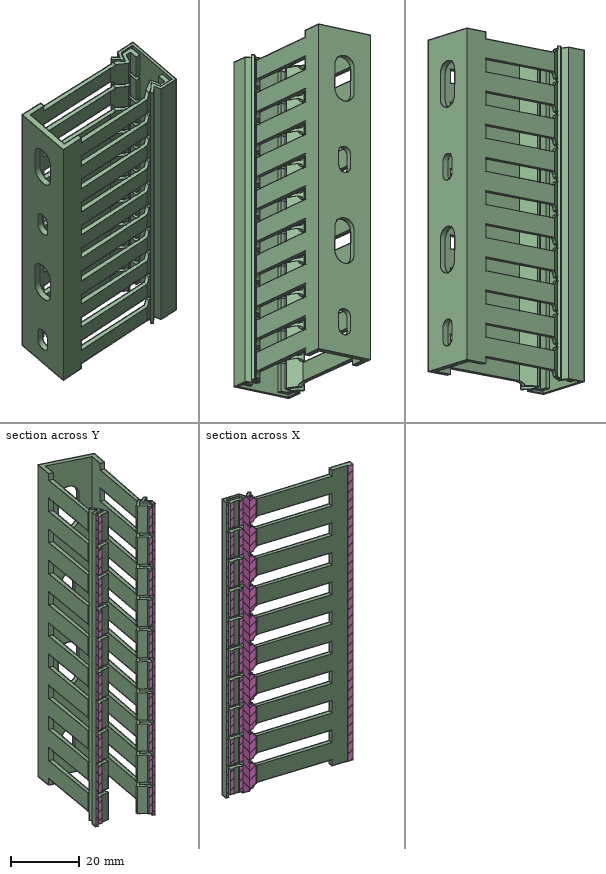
import cadquery as cq


length = 100.0
height = 43.3
cover_width = 19.4

cover_wall = 0.9
cover_half = cover_width / 2
cover_inner_half = cover_half - cover_wall

groove_start_y = 38.0
groove_apex_x = 5.9
groove_apex_y = 36.9
cover_corner_y = 37.4
leg_bend_x = 7.6
leg_bend_y = 36.5
leg_end_x = 9.4

base_half = 9.2
channel_half = 7.6
floor_thickness = 1.8
outer_bend_y = 32.8
inner_bend_y = 32.7
contact_end_x = 7.4
contact_end_y = groove_apex_y - (contact_end_x - groove_apex_x)
nose_x = 4.7
nose_bottom_y = 37.2
nose_top_y = 37.9
nose_root_y = 38.9
lip_tip_x = 5.0
lip_top_y = 41.9
lip_thickness = 1.4

finger_pitch = 10.0
slot_width = 4.2
slot_bottom_y = 7.1
slot_top_y = 34.2
slit_width = 1.3

hole_pitch = 25.0
first_hole_z = 10.0
hole_count = 4
long_hole_length = 14.0
long_hole_width = 6.8
short_hole_length = 8.0
short_hole_width = 4.2


def extrude_symmetric(right_half):
    """Mirror an open right-half outline about X = 0 and extrude it over the length."""
    left_half = [(-x, y) for x, y in reversed(right_half)]
    return cq.Workplane("XY").polyline(right_half + left_half).close().extrude(length)


def make_slot_cutter(z):
    """Round-ended finger slot with its narrow slit, through both side walls at height z."""
    round_center_y = slot_top_y - slot_width / 2
    plane = cq.Workplane("YZ", origin=(0, 0, z))
    slot = (
        plane.moveTo(slot_bottom_y, -slot_width / 2)
        .lineTo(round_center_y, -slot_width / 2)
        .threePointArc((slot_top_y, 0), (round_center_y, slot_width / 2))
        .lineTo(slot_bottom_y, slot_width / 2)
        .close()
        .extrude(cover_half, both=True)
    )
    slit_length = height - round_center_y
    slit = (
        plane.center(round_center_y + slit_length / 2, 0)
        .rect(slit_length, slit_width)
        .extrude(cover_half, both=True)
    )
    return slot.union(slit)


def make_hole_cutter(z, hole_length, hole_width):
    """Obround hole through the floor, long side along Z."""
    return (
        cq.Workplane("XZ", origin=(0, 0, z))
        .slot2D(hole_length, hole_width, 90)
        .extrude(-floor_thickness)
    )


def make_duct():
    """U-shaped channel whose side walls are split into snap-lipped fingers."""
    body = extrude_symmetric([
        (base_half, 0),
        (cover_inner_half, outer_bend_y),
        (contact_end_x, contact_end_y),
        (groove_apex_x, groove_apex_y),
        (cover_inner_half, groove_start_y),
        (cover_inner_half, lip_top_y),
        (lip_tip_x, lip_top_y),
        (lip_tip_x, lip_top_y - lip_thickness),
        (channel_half, lip_top_y - lip_thickness),
        (channel_half, nose_root_y),
        (nose_x, nose_top_y),
        (nose_x, nose_bottom_y),
        (channel_half, inner_bend_y),
        (channel_half, floor_thickness),
    ])

    slot_count = round(length / finger_pitch) + 1
    for index in range(slot_count):
        body = body.cut(make_slot_cutter(index * finger_pitch))

    for index in range(hole_count):
        z = first_hole_z + index * hole_pitch
        if index % 2 == 0:
            body = body.cut(make_hole_cutter(z, short_hole_length, short_hole_width))
        else:
            body = body.cut(make_hole_cutter(z, long_hole_length, long_hole_width))
    return body


def make_cover():
    """Flat cover with sides that bend into the duct grooves and flare out in 45 degree legs."""
    leg_outer_end_y = leg_bend_y - (leg_end_x - leg_bend_x)
    end_step = (leg_bend_x + leg_bend_y - groove_apex_x - groove_apex_y) / 2
    return extrude_symmetric([
        (cover_half, height),
        (cover_half, cover_corner_y),
        (leg_bend_x, leg_bend_y),
        (leg_end_x, leg_outer_end_y),
        (leg_end_x - end_step, leg_outer_end_y - end_step),
        (groove_apex_x, groove_apex_y),
        (cover_inner_half, groove_start_y),
        (cover_inner_half, height - cover_wall),
    ])


duct = make_duct()
cover = make_cover()

result = cq.Compound.makeCompound([duct.val(), cover.val()])